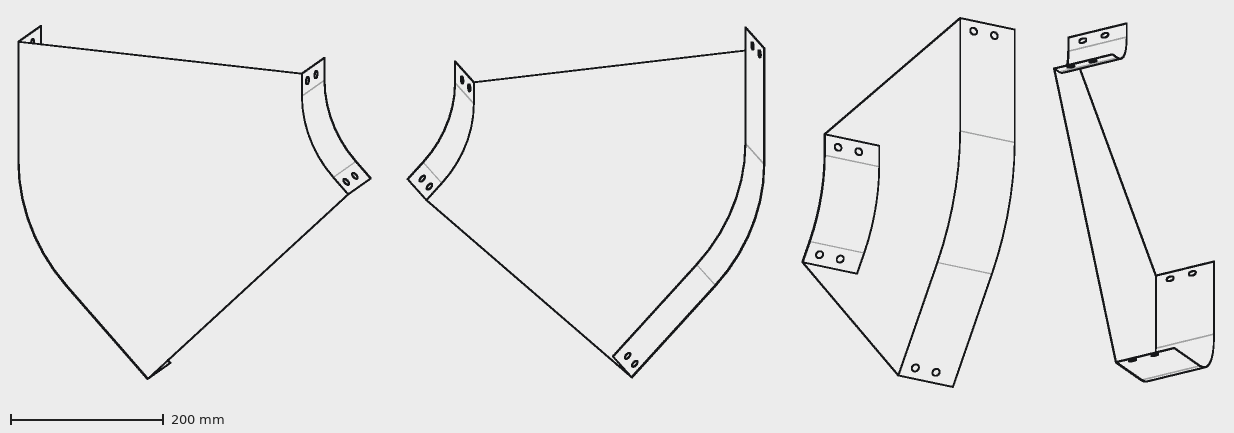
import cadquery as cq
import math

BEND_ANGLE = 45.0
WIDTH = 400.0
HEIGHT = 80.0
THICKNESS = 0.8
OUTER_RADIUS = 229.5
OUTER_STRAIGHT = 163.0
INNER_RADIUS = 150.0
HOLE_DIAMETER = 10.0
HOLE_END_DISTANCE = 15.0
HOLE_HEIGHTS = (20.0, 50.2)

angle = math.radians(BEND_ANGLE)
half_tangent = math.tan(angle / 2)
pivot_x = OUTER_RADIUS + OUTER_STRAIGHT / half_tangent


def side_points(x, radius):
    """(X, Z) points of one side: start, bend start, bend middle, bend end, finish."""
    straight = (pivot_x - x - radius) * half_tangent

    def on_bend(turn):
        return (x + radius * (1 - math.cos(turn)), -straight - radius * math.sin(turn))

    bend_end_x, bend_end_z = on_bend(angle)
    finish = (bend_end_x + straight * math.sin(angle), bend_end_z - straight * math.cos(angle))
    return [(x, 0), on_bend(0), on_bend(angle / 2), (bend_end_x, bend_end_z), finish]


def prism(left, right, height):
    """Solid between two sides, rising from Y = 0 to the given height."""
    return (
        cq.Workplane("XZ")
        .moveTo(*left[0])
        .lineTo(*left[1])
        .threePointArc(left[2], left[3])
        .lineTo(*left[4])
        .lineTo(*right[4])
        .lineTo(*right[3])
        .threePointArc(right[2], right[1])
        .lineTo(*right[0])
        .close()
        .extrude(-height)
    )


def hole_row(x, z):
    """Cutters along X for one row of holes through a flange centered at the given X and Z."""
    cutter_length = 10 * THICKNESS
    return (
        cq.Workplane("YZ", origin=(x, 0, 0))
        .pushPoints([(y, z) for y in HOLE_HEIGHTS])
        .circle(HOLE_DIAMETER / 2)
        .extrude(cutter_length / 2, both=True)
    )


outer_face = side_points(0, OUTER_RADIUS)
outer_flange_back = side_points(THICKNESS, OUTER_RADIUS - THICKNESS)
inner_face = side_points(WIDTH, INNER_RADIUS)
inner_flange_back = side_points(WIDTH - THICKNESS, INNER_RADIUS + THICKNESS)

result = (
    prism(outer_face, inner_face, THICKNESS)
    .union(prism(outer_face, outer_flange_back, HEIGHT))
    .union(prism(inner_flange_back, inner_face, HEIGHT))
)

for flange_x in (THICKNESS / 2, WIDTH - THICKNESS / 2):
    upper_holes = hole_row(flange_x, -HOLE_END_DISTANCE)
    lower_holes = hole_row(flange_x, HOLE_END_DISTANCE).rotate(
        (pivot_x, 0, 0), (pivot_x, 1, 0), -BEND_ANGLE
    )
    result = result.cut(upper_holes).cut(lower_holes)